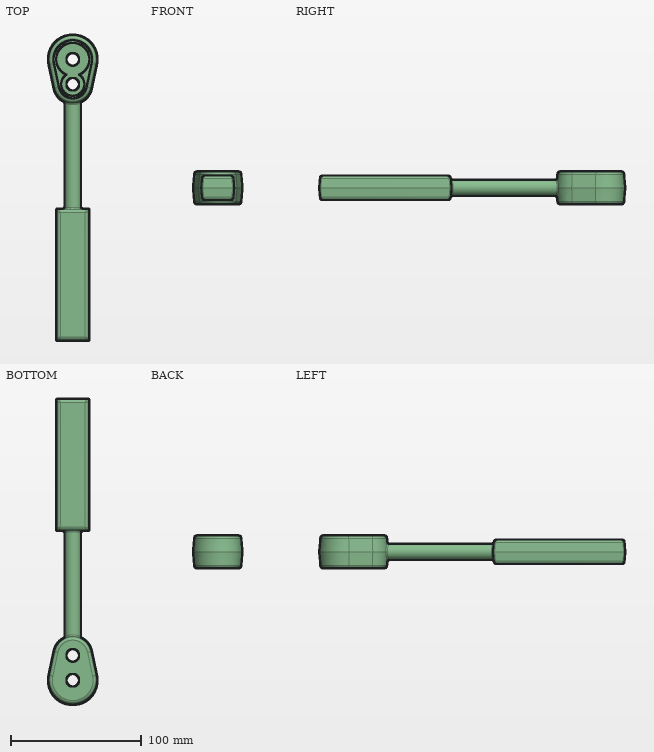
import cadquery as cq
import math

DRAFT = 5.0
EDGE_RADIUS = 2.54

HEAD_THICKNESS = 25.4
HEAD_RADIUS = 19.05
NECK_RADIUS = 15.1
NECK_Y = -19.05

RIM_WIDTH = 4.3
RECESS_DEPTH = 3.175
PIVOT_POCKET_RADIUS = 12.7
PAWL_POCKET_RADIUS = 8.89
POCKET_DEPTH = 22.86
HOLE_DIAMETER = 9.525

SHANK_DIAMETER = 12.7
SHANK_BLEND_RADIUS = 1.27

HANDLE_WIDTH = 25.4
HANDLE_THICKNESS = 19.05
HANDLE_LENGTH = 101.6
HANDLE_CORNER_RADIUS = 1.27
OVERALL_LENGTH = 234.95

HEAD_TOP_Z = HEAD_THICKNESS / 2
NECK_END_Y = NECK_Y - NECK_RADIUS
HANDLE_END_Y = HEAD_RADIUS - OVERALL_LENGTH
HANDLE_START_Y = HANDLE_END_Y + HANDLE_LENGTH
HANDLE_MID_Y = HANDLE_END_Y + HANDLE_LENGTH / 2


def egg_outline(large_radius, small_radius, z):
    """Two arcs joined by their outer tangent lines."""
    tangent_sine = (large_radius - small_radius) / abs(NECK_Y)
    tangent_cosine = math.sqrt(1 - tangent_sine**2)
    large_x = large_radius * tangent_cosine
    large_y = -large_radius * tangent_sine
    small_x = small_radius * tangent_cosine
    small_y = NECK_Y - small_radius * tangent_sine
    return (
        cq.Workplane("XY", origin=(0, 0, z))
        .moveTo(large_x, large_y)
        .threePointArc((0, large_radius), (-large_x, large_y))
        .lineTo(-small_x, small_y)
        .threePointArc((0, NECK_Y - small_radius), (small_x, small_y))
        .close()
    )


def mirrored_in_parting_plane(upper_half):
    return upper_half.union(upper_half.mirror("XY"))


def make_head():
    upper_half = egg_outline(HEAD_RADIUS, NECK_RADIUS, 0).extrude(HEAD_TOP_Z, taper=DRAFT)
    upper_half = upper_half.faces(">Z").edges().fillet(EDGE_RADIUS)
    return mirrored_in_parting_plane(upper_half)


def make_handle():
    upper_half = (
        cq.Workplane("XY", origin=(0, HANDLE_MID_Y, 0))
        .rect(HANDLE_WIDTH, HANDLE_LENGTH)
        .extrude(HANDLE_THICKNESS / 2, taper=DRAFT)
        .edges("not(|X or |Y)")
        .fillet(HANDLE_CORNER_RADIUS)
    )
    upper_half = upper_half.faces(">Z").edges().fillet(EDGE_RADIUS)
    return mirrored_in_parting_plane(upper_half)


def make_shank():
    return (
        cq.Workplane("XZ", origin=(0, NECK_Y, 0))
        .circle(SHANK_DIAMETER / 2)
        .extrude(NECK_Y - HANDLE_MID_Y)
        .rotate((0, 0, 0), (0, 1, 0), 90)
    )


def blend_shank_ends(body):
    """Round the two joints where the shank meets the head and the handle."""
    half_box = SHANK_DIAMETER / 2
    for joint_y in (NECK_END_Y, HANDLE_START_Y):
        around_joint = cq.selectors.BoxSelector(
            (-half_box, joint_y - half_box, -half_box),
            (half_box, joint_y + half_box, half_box),
        )
        joint_edges = body.edges(around_joint).edges("not %LINE")
        body = joint_edges.fillet(SHANK_BLEND_RADIUS)
    return body


def cylinder_down(radius, y, top_z, depth):
    return cq.Workplane("XY", origin=(0, y, top_z)).circle(radius).extrude(-depth)


def cut_head_cavities(body):
    recess = egg_outline(
        HEAD_RADIUS - RIM_WIDTH, NECK_RADIUS - RIM_WIDTH, HEAD_TOP_Z
    ).extrude(-RECESS_DEPTH)
    body = body.cut(recess)
    for y, pocket_radius in ((0, PIVOT_POCKET_RADIUS), (NECK_Y, PAWL_POCKET_RADIUS)):
        body = body.cut(cylinder_down(pocket_radius, y, HEAD_TOP_Z, POCKET_DEPTH))
        body = body.cut(cylinder_down(HOLE_DIAMETER / 2, y, HEAD_TOP_Z, HEAD_THICKNESS))
    return body


body = make_head().union(make_shank()).union(make_handle())
body = blend_shank_ends(body)
result = cut_head_cavities(body)